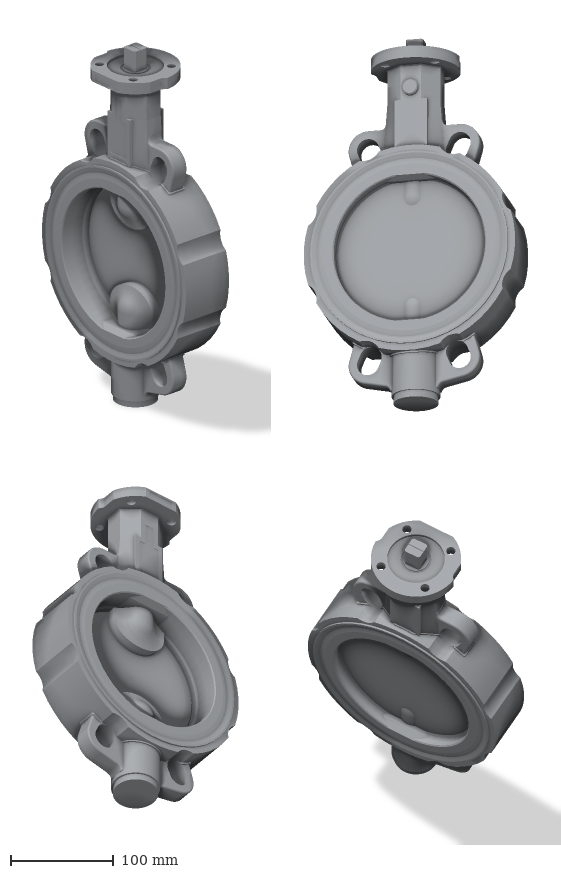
import cadquery as cq
import math

TOP_Z = 221.5
BOTTOM_Z = TOP_Z - 373.7

BODY_RADIUS = 105.95
BODY_WIDTH = 56
BOLT_COUNT = 8
BOLT_STEP = 360 / BOLT_COUNT
BOLT_OFFSET = BOLT_STEP / 2
BOLT_RADIUS = 120.0
GROOVE_RADIUS = 18.0

LINER_WIDTH = 59.8
LINER_RADIUS = 99.0
LINER_RIM_RADIUS = 97
LINER_SLOPE_RADIUS = 92.0
LINER_STEP_RADIUS = 86
LINER_SLOPE_DEPTH = 1.5
LINER_STEP_DEPTH = 0.7
BORE_RADIUS = 76.0
BORE_CHAMFER = 2.0
BEAD_START_Y = -3.0
BEAD_RAMP = 2.2
RAMP_START_Z = 75.0
SEAT_Z = 71.7
RAMP_LENGTH = 8.0

DISC_RADIUS = 75.0
DISC_EDGE_RADIUS = 72.5
DISC_FACE_RADIUS = 64.5
DISC_CENTRE_Y = 6.7
DISC_FACE_Y = 3.5
DISC_EDGE_Y = 3.7
DISC_RIM_RADIUS = 74.5
DISC_RIM_Y = 5.5
DISC_BACK_Y = 15.7
HUB_RADIUS = 17.5
HUB_END_Z = 55.5
HUB_BLEND_X = 12.0
FAIRING_RADIUS = 27.5
FAIRING_HALF_WIDTH = 31.0
FAIRING_DROP = 24.5

LUG_HOLE_RADIUS = 11.02
LUG_INNER_BOLT_RADIUS = 113.0
LUG_RADIUS = 19.8
LUG_THICKNESS = 18.3
LUG_FILLET = 2.0
LUG_CORNER_RADIUS = 5.2
LUG_ROOT_X = 59.8
LUG_ROOT_Z = 87.0
LOWER_WEB_SLOPE = 12
ROOT_COLLAR_INNER_X = 48.2
ROOT_COLLAR_OUTER_X = 61.3
ROOT_COLLAR_WIDTH = 21.5
ROOT_COLLAR_HEIGHT = 1.5

NECK_HALF_X = 26.5
NECK_HALF_Y = 22.0
NECK_FLAT_X = 10.5
NECK_FLAT_Y = 9.5
NECK_FLARE = 1.0
NECK_BREAK_Z = 155.0
NECK_ROOT_Z = 97
NECK_ROOT_HALF_X = 31.0
NECK_CORNER_X = 28.5
PAD_HALF_X = 16.5

PANEL_DEPTH = 0.55
PANEL_BOTTOM_Z = 112
PANEL_STEP_Z = 149.5
PANEL_TOP_Z = 173.5
PANEL_WIDTH = 24.3
PANEL_STEM_WIDTH = 10.5
PANEL_CORNER = 2.0

FLANGE_RADIUS = 44.0
FLANGE_TOP_Z = 202.5
FLANGE_THICKNESS = 12.0
FLANGE_FLAT_Y = 40.0
FLANGE_SIDE_X = 40.7
SIDE_STEP_Y = 2.5
SIDE_STEP_MIDDLE = 1.0
FLANGE_BOLT_RADIUS = 35.0
FLANGE_BOLT_ANGLE = 45
FLANGE_BOLT_COUNT = 4
FLANGE_HOLE_DIAMETER = 9.0
RECESS_DIAMETER = 56
RECESS_DEPTH = 3.0
BUSH_DIAMETER = 30
BUSH_DEPTH = 1.0
BUSH_BORE_DIAMETER = 24.5
LABEL_WIDTH = 28.5
LABEL_HEIGHT = 8.5
LABEL_DROP = 0.7

STEM_SQUARE = 17.2
STEM_DIAMETER = 22.0
STEM_SLOT_WIDTH = 1.0

BOSS_DIAMETER = 48.0
CAP_DIAMETER = 44.0
CAP_HEIGHT = 7.0
PLUG_DIAMETER = 15.7
PLUG_Z = 166.5
PLUG_LENGTH = 5.0
PLUG_CHAMFER = 1.0


def cylinder_y(radius, x, z, length):
    """Cylinder along Y, centred on Y = 0."""
    return cq.Workplane("XZ").center(x, z).circle(radius).extrude(length / 2, both=True)


def bolt_point(radius, angle):
    """X and Z of a point at the given angle from the Z axis."""
    turn = math.radians(angle)
    return radius * math.sin(turn), radius * math.cos(turn)


def make_body():
    body = cylinder_y(BODY_RADIUS, 0, 0, BODY_WIDTH)
    half = LINER_WIDTH / 2
    profile = [
        (0, 0),
        (LINER_RADIUS, 0),
        (LINER_RADIUS, half),
        (LINER_RIM_RADIUS, half),
        (LINER_SLOPE_RADIUS, half - LINER_SLOPE_DEPTH),
        (LINER_STEP_RADIUS, half - LINER_STEP_DEPTH),
        (0, half - LINER_STEP_DEPTH),
    ]
    liner = cq.Workplane("XY").polyline(profile).close().revolve(360, (0, 0), (0, 1))
    body = body.union(liner).union(liner.mirror("XZ"))
    for index in range(BOLT_COUNT):
        x, z = bolt_point(BOLT_RADIUS, BOLT_OFFSET + BOLT_STEP * index)
        body = body.cut(cylinder_y(GROOVE_RADIUS, x, z, LINER_WIDTH))
    return body


def make_lug(upper):
    """Right-hand lug web; the lower one slopes down to the boss."""
    sign = 1 if upper else -1
    slope = math.radians(0 if upper else LOWER_WEB_SLOPE)
    x, z = bolt_point(BOLT_RADIUS, BOLT_OFFSET)
    edge_start = (x + LUG_RADIUS * math.sin(slope), z + LUG_RADIUS * math.cos(slope))
    wall_x = NECK_CORNER_X if upper else BOSS_DIAMETER / 2
    corner_x = wall_x + LUG_CORNER_RADIUS
    corner_z = edge_start[1] + (edge_start[0] - corner_x) * math.tan(slope)
    corner_end_z = corner_z + LUG_CORNER_RADIUS
    dx, dz = LUG_ROOT_X - x, LUG_ROOT_Z - z
    spread = math.acos(LUG_RADIUS / math.hypot(dx, dz))
    direction = math.atan2(dz, dx) + spread
    tangent = (x + LUG_RADIUS * math.cos(direction), z + LUG_RADIUS * math.sin(direction))
    middle_angle = (direction + math.pi / 2 - slope) / 2
    middle = (x + LUG_RADIUS * math.cos(middle_angle), z + LUG_RADIUS * math.sin(middle_angle))
    outline = (
        cq.Workplane("XZ")
        .moveTo(0, sign * LUG_ROOT_Z)
        .lineTo(LUG_ROOT_X, sign * LUG_ROOT_Z)
        .lineTo(tangent[0], sign * tangent[1])
        .threePointArc((middle[0], sign * middle[1]), (edge_start[0], sign * edge_start[1]))
        .lineTo(corner_x, sign * corner_z)
        .tangentArcPoint((wall_x, sign * corner_end_z), relative=False)
        .lineTo(0, sign * corner_end_z)
        .close()
    )
    lug = outline.extrude(LUG_THICKNESS / 2, both=True)
    return lug.faces("<Y or >Y").edges().fillet(LUG_FILLET)


def root_collar(section):
    """Raised foot, a little wider than the piece that meets the body ring there."""
    shell = cylinder_y(BODY_RADIUS + ROOT_COLLAR_HEIGHT, 0, 0, BODY_WIDTH)
    return section.intersect(shell).cut(cylinder_y(LINER_RADIUS, 0, 0, LINER_WIDTH))


def lug_collar():
    width = ROOT_COLLAR_OUTER_X - ROOT_COLLAR_INNER_X
    slab = cq.Workplane("XY").center(ROOT_COLLAR_INNER_X + width / 2, 0).rect(width, ROOT_COLLAR_WIDTH)
    return root_collar(slab.extrude(BODY_RADIUS).edges("|Z").fillet(LUG_FILLET))


def make_lugs():
    collar = lug_collar()
    right = make_lug(True).union(make_lug(False)).union(collar).union(collar.mirror("XY"))
    return right.union(right.mirror("YZ"))


def cut_bolt_holes(part):
    """Radial slots through the four lugs."""
    length = BOLT_RADIUS - LUG_INNER_BOLT_RADIUS + 2 * LUG_HOLE_RADIUS
    for side in (0, 180):
        for angle in (side - BOLT_OFFSET, side + BOLT_OFFSET):
            x, z = bolt_point((BOLT_RADIUS + LUG_INNER_BOLT_RADIUS) / 2, angle)
            slot = cq.Workplane("XZ", origin=(0, BODY_WIDTH, 0)).center(x, z)
            slot = slot.slot2D(length, 2 * LUG_HOLE_RADIUS, 90 - angle)
            part = part.cut(slot.extrude(2 * BODY_WIDTH))
    return part


def octagon(plane_z, half_x, half_y=NECK_HALF_Y):
    """Neck outline: a rectangle with cut corners."""
    fx, fy = NECK_FLAT_X, NECK_FLAT_Y
    right = [(fx, -half_y), (half_x, -fy), (half_x, fy), (fx, half_y)]
    left = [(-x, -y) for x, y in right]
    return cq.Workplane("XY").workplane(offset=plane_z).polyline(right + left).close()


def neck_loft(*outlines):
    return cq.Workplane(cq.Solid.makeLoft([outline.val() for outline in outlines], True))


def make_neck():
    underside_z = FLANGE_TOP_Z - FLANGE_THICKNESS
    shank = octagon(NECK_BREAK_Z, NECK_HALF_X).extrude(underside_z - NECK_BREAK_Z)
    root = neck_loft(octagon(NECK_ROOT_Z, NECK_ROOT_HALF_X), octagon(NECK_BREAK_Z, NECK_HALF_X))
    flare = neck_loft(
        octagon(underside_z - NECK_FLARE, NECK_HALF_X),
        octagon(underside_z, NECK_HALF_X + NECK_FLARE, NECK_HALF_Y + NECK_FLARE),
    )
    pad = (
        cq.Workplane("XY")
        .workplane(offset=NECK_ROOT_Z)
        .rect(2 * PAD_HALF_X, 2 * NECK_HALF_Y)
        .extrude(NECK_BREAK_Z - NECK_ROOT_Z)
    )
    foot = octagon(
        NECK_ROOT_Z, NECK_ROOT_HALF_X + ROOT_COLLAR_HEIGHT, NECK_HALF_Y + ROOT_COLLAR_HEIGHT
    ).extrude(BODY_RADIUS)
    return shank.union(root).union(flare).union(pad).union(root_collar(foot))


def cut_name_panel(part):
    wide, stem = PANEL_WIDTH / 2, PANEL_STEM_WIDTH / 2
    outline = [
        (-wide, PANEL_BOTTOM_Z),
        (wide, PANEL_BOTTOM_Z),
        (wide, PANEL_STEP_Z),
        (stem, PANEL_STEP_Z),
        (stem, PANEL_TOP_Z),
        (-stem, PANEL_TOP_Z),
        (-stem, PANEL_STEP_Z),
        (-wide, PANEL_STEP_Z),
    ]
    panel = cq.Workplane("XZ", origin=(0, -NECK_HALF_Y, 0)).polyline(outline).close()
    return part.cut(panel.extrude(-PANEL_DEPTH).edges("|Y").fillet(PANEL_CORNER))


def make_flange():
    base_z = FLANGE_TOP_Z - FLANGE_THICKNESS
    flange = cq.Workplane("XY").workplane(offset=base_z).circle(FLANGE_RADIUS).extrude(FLANGE_THICKNESS)
    size = 2 * FLANGE_RADIUS
    flange = flange.cut(cq.Workplane("XY").center(0, -FLANGE_FLAT_Y - size / 2).rect(size, size).extrude(TOP_Z))
    outline = [
        (FLANGE_SIDE_X, -size),
        (FLANGE_SIDE_X, -SIDE_STEP_Y),
        (FLANGE_SIDE_X + SIDE_STEP_MIDDLE, 0),
        (FLANGE_RADIUS, SIDE_STEP_Y),
        (size, SIDE_STEP_Y),
        (size, -size),
    ]
    side = cq.Workplane("XY").polyline(outline).close().extrude(TOP_Z)
    flange = flange.cut(side).cut(side.mirror("YZ"))
    holes = (
        cq.Workplane("XY")
        .polarArray(FLANGE_BOLT_RADIUS, FLANGE_BOLT_ANGLE, 360, FLANGE_BOLT_COUNT)
        .circle(FLANGE_HOLE_DIAMETER / 2)
        .extrude(TOP_Z)
    )
    recess = cq.Workplane("XY").workplane(offset=FLANGE_TOP_Z).circle(RECESS_DIAMETER / 2).extrude(-RECESS_DEPTH)
    bush = (
        cq.Workplane("XY")
        .workplane(offset=FLANGE_TOP_Z - RECESS_DEPTH)
        .circle(BUSH_DIAMETER / 2)
        .circle(BUSH_BORE_DIAMETER / 2)
        .extrude(-BUSH_DEPTH)
    )
    label = (
        cq.Workplane("XZ", origin=(0, -FLANGE_FLAT_Y, 0))
        .center(0, FLANGE_TOP_Z - FLANGE_THICKNESS / 2 - LABEL_DROP)
        .rect(LABEL_WIDTH, LABEL_HEIGHT)
        .extrude(-PANEL_DEPTH)
        .edges("|Y")
        .fillet(PANEL_CORNER)
    )
    return flange.cut(holes).cut(recess).cut(bush).cut(label)


def make_stem():
    base_z = FLANGE_TOP_Z - RECESS_DEPTH - BUSH_DEPTH
    stem = cq.Workplane("XY").workplane(offset=base_z).rect(STEM_SQUARE, STEM_SQUARE).extrude(TOP_Z - base_z)
    stem = stem.intersect(cq.Workplane("XY").circle(STEM_DIAMETER / 2).extrude(TOP_Z))
    slot = cq.Workplane("XY").box(2 * STEM_SQUARE, STEM_SLOT_WIDTH, 2 * STEM_SLOT_WIDTH).translate((0, 0, TOP_Z))
    return stem.cut(slot)


def make_lower_boss():
    cap = cq.Workplane("XY").workplane(offset=BOTTOM_Z).circle(CAP_DIAMETER / 2).extrude(CAP_HEIGHT)
    height = -NECK_ROOT_Z - BOTTOM_Z - CAP_HEIGHT
    boss = cap.faces(">Z").workplane().circle(BOSS_DIAMETER / 2).extrude(height)
    foot = cq.Workplane("XY").circle(BOSS_DIAMETER / 2 + ROOT_COLLAR_HEIGHT).extrude(BOTTOM_Z)
    return boss.union(root_collar(foot))


def make_bore():
    """Chamfered bore with a low bead that seals on the disc rim."""
    half = LINER_WIDTH / 2
    profile = [
        (0, -half),
        (BORE_RADIUS + BORE_CHAMFER, -half),
        (BORE_RADIUS, BORE_CHAMFER - half),
        (BORE_RADIUS, BEAD_START_Y),
        (DISC_RIM_RADIUS, BEAD_START_Y + BEAD_RAMP),
        (DISC_RIM_RADIUS, DISC_BACK_Y),
        (BORE_RADIUS, DISC_BACK_Y + BEAD_RAMP),
        (BORE_RADIUS, half - BORE_CHAMFER),
        (BORE_RADIUS + BORE_CHAMFER, half),
        (0, half),
    ]
    return cq.Workplane("XY").polyline(profile).close().revolve(360, (0, 0), (0, 1))


def make_seats():
    """Raised flats with ramped ends where the stem passes through the liner."""
    half = LINER_WIDTH / 2 - LINER_STEP_DEPTH
    outer_z = BORE_RADIUS + BORE_CHAMFER
    profile = [
        (-half, outer_z),
        (-half, RAMP_START_Z),
        (RAMP_LENGTH - half, SEAT_Z),
        (half - RAMP_LENGTH, SEAT_Z),
        (half, RAMP_START_Z),
        (half, outer_z),
    ]
    seat = cq.Workplane("YZ").polyline(profile).close().extrude(BORE_RADIUS, both=True)
    seat = seat.intersect(cylinder_y(outer_z, 0, 0, LINER_WIDTH))
    return seat.union(seat.mirror("XY"))


def make_fairing():
    """Front of the upper hub, flaring through a hollow curve onto a raised pad of the disc."""
    blend_y = -math.sqrt(HUB_RADIUS**2 - HUB_BLEND_X**2)
    reach = (HUB_RADIUS + FAIRING_RADIUS) / HUB_RADIUS
    centre_x, centre_y = HUB_BLEND_X * reach, blend_y * reach
    pad_y = centre_y + FAIRING_RADIUS
    hub_turn = math.atan2(HUB_BLEND_X, -blend_y) / 2
    flare_turn = math.atan2(centre_x, -centre_y) / 2
    profile = (
        cq.Workplane("XY", origin=(0, 0, HUB_END_Z))
        .moveTo(0, -HUB_RADIUS)
        .threePointArc(
            (HUB_RADIUS * math.sin(hub_turn), -HUB_RADIUS * math.cos(hub_turn)),
            (HUB_BLEND_X, blend_y),
        )
        .threePointArc(
            (centre_x - FAIRING_RADIUS * math.sin(flare_turn), centre_y + FAIRING_RADIUS * math.cos(flare_turn)),
            (centre_x, pad_y),
        )
        .lineTo(BODY_RADIUS, pad_y)
        .lineTo(BODY_RADIUS, DISC_RIM_Y)
        .lineTo(0, DISC_RIM_Y)
        .close()
    )
    length = DISC_EDGE_RADIUS - HUB_END_Z
    straight = profile.extrude(length)
    rounded_end = profile.toPending().revolve(360, (0, 0), (0, 1))
    fairing = straight.union(straight.mirror("YZ")).union(rounded_end)
    width = FAIRING_HALF_WIDTH
    outline = (
        cq.Workplane("XZ", origin=(0, DISC_RIM_Y, HUB_END_Z))
        .moveTo(width, 0)
        .lineTo(width, length)
        .lineTo(-width, length)
        .lineTo(-width, 0)
        .ellipseArc(width, FAIRING_DROP, 180, 360, startAtCurrent=True)
        .close()
        .extrude(LINER_WIDTH)
    )
    return fairing.intersect(outline).intersect(cylinder_y(DISC_EDGE_RADIUS, 0, 0, LINER_WIDTH))


def make_disc():
    profile = [
        (0, DISC_CENTRE_Y),
        (DISC_FACE_RADIUS, DISC_FACE_Y),
        (DISC_EDGE_RADIUS, DISC_EDGE_Y),
        (DISC_RIM_RADIUS, DISC_RIM_Y),
        (DISC_RADIUS, DISC_RIM_Y),
        (DISC_RADIUS, DISC_BACK_Y),
        (0, DISC_BACK_Y),
    ]
    disc = cq.Workplane("XY").polyline(profile).close().revolve(360, (0, 0), (0, 1))
    hub = (
        cq.Workplane("XY")
        .workplane(offset=HUB_END_Z)
        .circle(HUB_RADIUS)
        .extrude(BORE_RADIUS - HUB_END_Z)
        .union(cq.Workplane("XY").sphere(HUB_RADIUS).translate((0, 0, HUB_END_Z)))
    )
    upper = hub.union(make_fairing())
    return disc.union(upper).union(upper.mirror("XY"))


def make_plug():
    return (
        cq.Workplane("XZ", origin=(0, NECK_HALF_Y, 0))
        .center(0, PLUG_Z)
        .circle(PLUG_DIAMETER / 2)
        .extrude(-PLUG_LENGTH)
        .faces(">Y")
        .chamfer(PLUG_CHAMFER)
    )


housing = make_body().union(make_lugs()).union(make_neck()).union(make_lower_boss())
housing = cut_bolt_holes(housing)
housing = cut_name_panel(housing).union(make_flange()).union(make_stem()).union(make_plug())
result = housing.cut(make_bore()).union(make_seats()).union(make_disc())